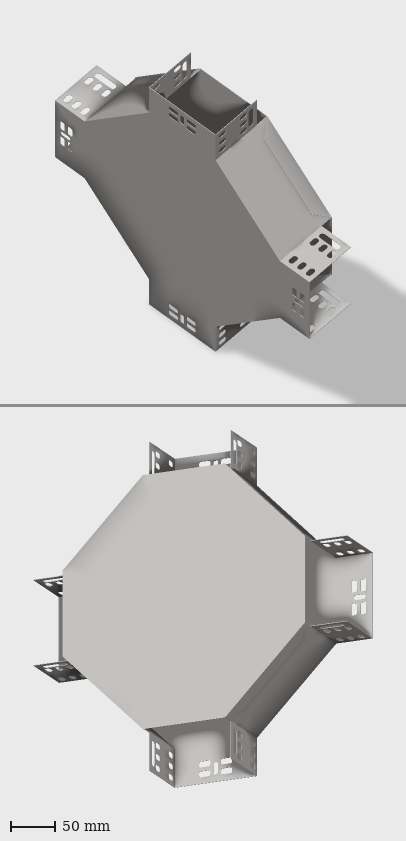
import cadquery as cq
import math


span = 391.5
height = 86.5
sheet = 0.7

arm_width = 102.5
arm_length = 45.5
flange_height = 69.5
half_width = arm_width / 2
arm_end = span / 2
shoulder = arm_end - arm_length
wall_height = height - sheet

slot_width = 7.0
slot_length = 12.0
slot_pitch = 13.5
slot_row_heights = (11.7, 47.0)
long_slot_length = 30.5
long_slot_width = 8.0
long_slot_height = 59.5
flange_slot_inset = 22.5
long_slot_inset = 23.0

floor_slot_length = 14.0
floor_slot_width = 7.0
floor_slot_corner = 2.0
floor_slot_insets = (11.5, 23.0)
floor_slot_offset = 13.7
middle_slot_width = 6.0
middle_slot_inset = 16.0

flap_depth = 20.0
flap_taper = 18.5

side_angles = (0, 90, 180, 270)
corner_angles = (45, 135, 225, 315)


def turned(body, angle):
    """Turn a body about the upright axis of the junction."""
    return body.rotate((0, 0, 0), (0, 1, 0), angle)


def prism(points, bottom, top):
    """Extrude an XZ outline upwards from Y = bottom to Y = top."""
    return cq.Workplane("XZ", origin=(0, bottom, 0)).polyline(points).close().extrude(bottom - top)


def four_fold(quadrant):
    """Repeat the outline points of one quadrant around the centre."""
    points = []
    for _ in side_angles:
        points += quadrant
        quadrant = [(-z, x) for x, z in quadrant]
    return points


def tray_outline(half, corner):
    """Cross with four arms of the given half width, joined by diagonals between the corners."""
    return four_fold([(arm_end, half), (corner, half), (half, corner), (half, arm_end)])


def cover_outline(half, corner):
    """Octagon with four short straight sides and four diagonal sides."""
    return four_fold([(corner, half), (half, corner)])


def flange_slots():
    """Cutter for both flanges of the +X arm."""
    middle = arm_end - flange_slot_inset
    plane = cq.Workplane("XY", origin=(0, 0, -half_width))
    long_slot = plane.center(arm_end - long_slot_inset, long_slot_height)
    long_slot = long_slot.slot2D(long_slot_length, long_slot_width).extrude(arm_width)
    short_slot_centres = [(middle + step * slot_pitch, y) for step in (-1, 0, 1) for y in slot_row_heights]
    short_slots = plane.pushPoints(short_slot_centres).slot2D(slot_length, slot_width, 90).extrude(arm_width)
    return short_slots.union(long_slot)


def rounded_slot(x, z, length, width):
    """Cutter through the floor with rounded corners, centred at (x, z), with its length along X."""
    block = cq.Workplane("XZ", origin=(x, 0, z)).rect(length, width).extrude(-sheet)
    return block.edges("|Y").fillet(floor_slot_corner)


def floor_slots():
    """Cutter for the floor of the +X arm."""
    cutter = rounded_slot(arm_end - middle_slot_inset, 0, floor_slot_length, middle_slot_width)
    for inset in floor_slot_insets:
        for side in (-1, 1):
            offset = side * floor_slot_offset
            cutter = cutter.union(rounded_slot(arm_end - inset, offset, floor_slot_width, floor_slot_length))
    return cutter


def make_tray():
    """Floor with four diagonal walls and a pair of lower flanges on each open arm."""
    tray = prism(tray_outline(half_width, shoulder), 0, wall_height)
    inner_shoulder = shoulder - sheet * (math.sqrt(2) - 1)
    cavity = prism(tray_outline(half_width - sheet, inner_shoulder), sheet, wall_height)
    tray = tray.cut(cavity)
    above_flanges = cq.Workplane("XY", origin=(shoulder, flange_height, 0)).box(
        arm_length, wall_height - flange_height, arm_width, centered=(False, False, True)
    )
    arm_cutter = above_flanges.union(flange_slots()).union(floor_slots())
    for angle in side_angles:
        tray = tray.cut(turned(arm_cutter, angle))
    return tray


def make_cover():
    """Flat octagon with a tapered flap folded down over the outside of each diagonal wall."""
    overhang = sheet * math.sqrt(2)
    cover = prism(cover_outline(half_width, shoulder + overhang), wall_height, height)
    wall_distance = (half_width + shoulder) / math.sqrt(2)
    half_top = (shoulder - half_width) / math.sqrt(2)
    half_bottom = half_top - flap_taper
    flap_bottom = height - flap_depth
    flap_points = [
        (-half_top, wall_height),
        (-half_bottom, flap_bottom),
        (half_bottom, flap_bottom),
        (half_top, wall_height),
    ]
    flap = cq.Workplane("XY", origin=(0, 0, wall_distance)).polyline(flap_points).close().extrude(sheet)
    for angle in corner_angles:
        cover = cover.union(turned(flap, angle))
    return cover


tray = make_tray()
cover = make_cover()

result = cq.Compound.makeCompound([tray.val(), cover.val()])